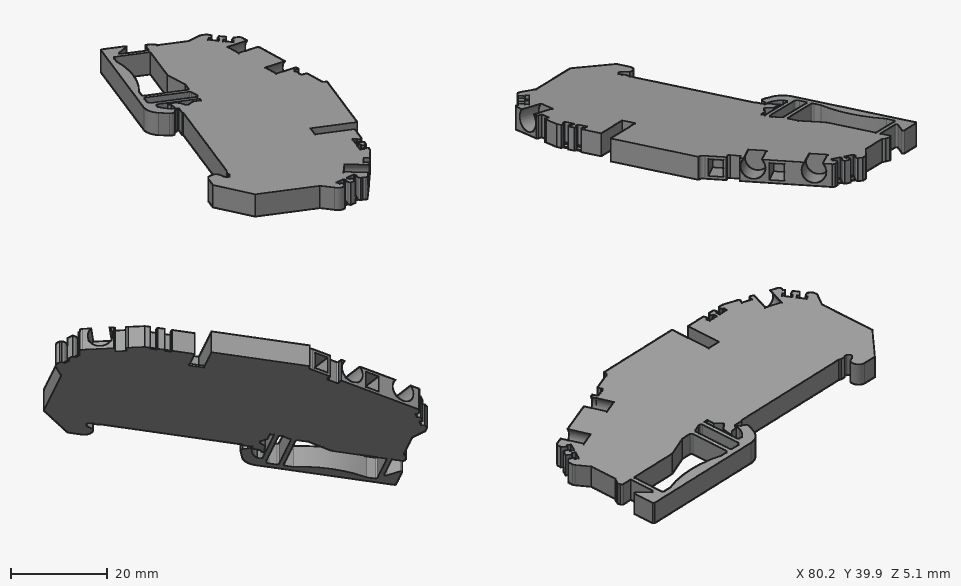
import cadquery as cq
import math

LENGTH = 80.21
HEIGHT = 39.9
THICKNESS = 5.1
FLOOR = 0.6
SLOPE = 20.0
MARKER_TILT = 60.0

BODY_BOTTOM = 7.0
RAIL_STEP = 0.2
SHELF = 9.42
RIGHT_TOP = 38.35
LEFT_WALL = 2.0
RIGHT_WALL = 78.1
TERMINAL_PEAK = 36.2

FOOT_LEFT = 0.55
FOOT_FLOOR = 1.42
RIB = 1.02
RIB_1 = 3.9
RIB_2 = 24.91
RIB_3 = 28.77
ARCH_START = 7.2
ARCH_END = 22.8
ARCH_TOP = 2.7
SHELF_END = 16.75
WINDOW_1_TOP = 11.55
WINDOW_1_TOP_START = 22.2
WINDOW_2_TOP_LEFT = 11.5
WINDOW_2_TOP = 12.3
WINDOW_2_FLAT_START = 28.0
WINDOW_FILLET = 0.4
WINDOW_WIDE_FILLET = 0.8

SLOT_LEFT = 50.5
SLOT_WIDTH = 3.14
SLOT_THROUGH_BOTTOM = 33.75
SLOT_RAMP = 0.2
SLOT_BOTTOM = 29.75

MARKER_PITCH = 3.1
MARKER_MOUTH_WIDTH = 1.6
MARKER_NECK_WIDTH = 1.3
MARKER_FOOT_WIDTH = 2.2
MARKER_FOOT_HEIGHT = 0.87
MARKER_NECK_HEIGHT = 0.65
MARKER_NECK_FLOOR = 0.3
TOP_MARKER_DEPTH = 1.95
END_MARKER_DEPTH = 2.25
TOP_MARKER_CENTER = (60.8, RIGHT_TOP)
LEFT_MARKER_CENTER = (1.95, 26.03)
RIGHT_MARKER_CENTER = (78.15, 30.32)
END_MARKER_SPAN = 4.9

TOOL_HOLE_RADIUS = 2.6
TOOL_HOLE_Z = 3.3
TOOL_HOLE_DEPTH = 5.15
TOOL_HOLES = (
    (7.2, 30.85, SLOPE),
    (19.2, 35.24, SLOPE),
    (73.0, 35.3, -SLOPE),
)
WIRE_ENTRY_LENGTH = 3.2
WIRE_ENTRY_HEIGHT = 3.7
WIRE_ENTRY_DEPTH = 5.0
WIRE_ENTRIES = ((14.5, 33.5), (26.5, 37.9))

OVERCUT = 1.0


def along(point, angle, distance):
    """Point at a distance from another, in the direction of an angle in degrees."""
    a = math.radians(angle)
    return (point[0] + distance * math.cos(a), point[1] + distance * math.sin(a))


def make_body():
    """Profile of the housing with the foot, running clockwise from the foot corner."""
    slope_rise = math.tan(math.radians(SLOPE))
    left_peak_x = 21.8
    left_terminal_x = 3.55
    right_peak_x = 70.4
    right_terminal_x = 76.5
    left_slope = (24.4, 28.7)
    right_slope = (64.3, 67.5)
    left_slope_bottom = 37.15
    hook_bottom = 2.2
    step_level = BODY_BOTTOM - RAIL_STEP
    rib_3_right = RIB_3 + RIB
    left_low = along(LEFT_MARKER_CENTER, MARKER_TILT, -END_MARKER_SPAN / 2)
    left_high = along(LEFT_MARKER_CENTER, MARKER_TILT, END_MARKER_SPAN / 2)
    right_high = along(RIGHT_MARKER_CENTER, -MARKER_TILT, -END_MARKER_SPAN / 2)
    right_low = along(RIGHT_MARKER_CENTER, -MARKER_TILT, END_MARKER_SPAN / 2)

    outline = cq.Workplane("XY").moveTo(FOOT_LEFT + 0.25, 0)
    outline = outline.lineTo(FOOT_LEFT, 0.35).lineTo(FOOT_LEFT, 5.35)
    outline = outline.threePointArc((0.75, 5.58), (1.0, 5.5))
    outline = outline.lineTo(3.35, 3.15).threePointArc((3.7, 3.1), (RIB_1, 3.4))
    outline = outline.lineTo(RIB_1, SHELF).lineTo(1.6, SHELF)
    outline = outline.threePointArc((1.28, 9.55), (1.2, 9.9)).lineTo(1.05, 10.4)
    outline = outline.lineTo(1.5, 11.2).threePointArc((1.65, 11.6), (LEFT_WALL, 11.85))
    outline = outline.lineTo(LEFT_WALL, 18.65).lineTo(0.15, 21.55)
    outline = outline.threePointArc((0.05, 21.81), (0, 22.1)).lineTo(0, 23.2).lineTo(*left_low)
    outline = outline.lineTo(*left_high).lineTo(3.15, 29.15)
    outline = outline.lineTo(left_terminal_x, TERMINAL_PEAK - (left_peak_x - left_terminal_x) * slope_rise)
    outline = outline.lineTo(left_peak_x, TERMINAL_PEAK).lineTo(22.1, 35.4)
    outline = outline.threePointArc((22.2, 35.12), (22.55, 35.1)).lineTo(24.3, 35.72)
    outline = outline.threePointArc((24.7, 35.95), (24.6, 36.4)).lineTo(left_slope[0], left_slope_bottom)
    outline = outline.lineTo(left_slope[1], left_slope_bottom + (left_slope[1] - left_slope[0]) * slope_rise)
    outline = outline.threePointArc((29.3, 39.0), (29.5, 39.5)).lineTo(29.5, HEIGHT)
    outline = outline.lineTo(SLOT_LEFT, HEIGHT).lineTo(SLOT_LEFT, SLOT_THROUGH_BOTTOM)
    outline = outline.lineTo(SLOT_LEFT + SLOT_WIDTH, SLOT_THROUGH_BOTTOM)
    outline = outline.lineTo(SLOT_LEFT + SLOT_WIDTH, RIGHT_TOP).lineTo(right_slope[0], RIGHT_TOP)
    outline = outline.lineTo(right_slope[1], RIGHT_TOP - (right_slope[1] - right_slope[0]) * slope_rise)
    outline = outline.threePointArc((67.95, 36.95), (67.85, 36.5)).lineTo(67.55, 35.9)
    outline = outline.lineTo(69.8, 35.08).lineTo(70.05, 36.1).lineTo(right_peak_x, TERMINAL_PEAK)
    outline = outline.lineTo(right_terminal_x, TERMINAL_PEAK - (right_terminal_x - right_peak_x) * slope_rise)
    outline = outline.threePointArc((76.8, 33.75), (76.85, 33.3)).lineTo(76.7, 32.8).lineTo(*right_high)
    outline = outline.lineTo(*right_low).lineTo(79.75, 28.0)
    outline = outline.threePointArc((LENGTH, 26.85), (79.75, 25.7)).lineTo(RIGHT_WALL, 23.15)
    outline = outline.lineTo(RIGHT_WALL, 9.15).lineTo(71.15, hook_bottom).lineTo(67.9, hook_bottom)
    outline = outline.threePointArc((66.5, 3.15), (66.45, 4.85)).lineTo(67.9, 5.6)
    outline = outline.threePointArc((68.2, 6.5), (67.6, BODY_BOTTOM))
    outline = outline.lineTo(67.1, BODY_BOTTOM).lineTo(66.9, step_level)
    outline = outline.lineTo(65.9, step_level).lineTo(65.3, BODY_BOTTOM)
    outline = outline.lineTo(35.4, BODY_BOTTOM).lineTo(35.2, step_level)
    outline = outline.lineTo(33.0, step_level).lineTo(32.65, 6.05).lineTo(31.0, 5.8)
    outline = outline.lineTo(30.4, 5.2).lineTo(30.05, 5.5).lineTo(30.4, 7.6)
    outline = outline.lineTo(31.8, 8.65).threePointArc((31.98, 8.92), (31.9, 9.2))
    outline = outline.lineTo(30.7, 10.5).lineTo(30.7, WINDOW_2_TOP).lineTo(rib_3_right, WINDOW_2_TOP)
    outline = outline.lineTo(rib_3_right, 3.2).threePointArc((29.9, 2.95), (30.15, 2.87))
    outline = outline.lineTo(30.9, 2.87).threePointArc((32.1, 4.0), (32.7, 5.2)).lineTo(33.05, 6.45)
    outline = outline.lineTo(33.7, 5.75).lineTo(34.6, 5.4).threePointArc((34.87, 4.8), (34.75, 4.15))
    outline = outline.lineTo(33.9, 2.1).threePointArc((32.47, 0.58), (30.5, 0)).close()
    return outline.extrude(THICKNESS)


def cut_foot_windows(body):
    """Two openings between the ribs, with an arched foot under the first one."""
    left = RIB_1 + RIB
    window_1 = (
        cq.Workplane("XY").moveTo(left, FOOT_FLOOR).lineTo(left, SHELF).lineTo(SHELF_END, SHELF)
        .lineTo(WINDOW_1_TOP_START, WINDOW_1_TOP).lineTo(RIB_2, WINDOW_1_TOP)
        .lineTo(RIB_2, FOOT_FLOOR).lineTo(ARCH_END, FOOT_FLOOR)
        .threePointArc(((ARCH_START + ARCH_END) / 2, ARCH_TOP), (ARCH_START, FOOT_FLOOR))
        .close().extrude(THICKNESS)
    )
    window_1 = window_1.edges("|Z and >X").fillet(WINDOW_FILLET)
    window_1 = window_1.edges("|Z and <X and <Y").fillet(WINDOW_FILLET)
    left = RIB_2 + RIB
    window_2 = (
        cq.Workplane("XY").moveTo(left, FOOT_FLOOR).lineTo(left, WINDOW_2_TOP_LEFT)
        .lineTo(WINDOW_2_FLAT_START, WINDOW_2_TOP).lineTo(RIB_3, WINDOW_2_TOP)
        .lineTo(RIB_3, FOOT_FLOOR).close().extrude(THICKNESS)
    )
    window_2 = window_2.edges("|Z and >X and <Y").fillet(WINDOW_WIDE_FILLET)
    window_2 = window_2.edges("|Z and (<X or (>X and >Y))").fillet(WINDOW_FILLET)
    return body.cut(window_1).cut(window_2)


def cut_bridge_slot(body):
    """Blind lower end of the bridge slot, with a steep ramp from its floor."""
    ramp_top = SLOT_THROUGH_BOTTOM - SLOT_RAMP
    pocket = (
        cq.Workplane("YZ", origin=(SLOT_LEFT, 0, 0)).moveTo(SLOT_BOTTOM, FLOOR)
        .lineTo(ramp_top, FLOOR).lineTo(SLOT_THROUGH_BOTTOM, 0)
        .lineTo(SLOT_THROUGH_BOTTOM, THICKNESS).lineTo(SLOT_BOTTOM, THICKNESS)
        .close().extrude(SLOT_WIDTH)
    )
    return body.cut(pocket)


def marker_cutter(depth):
    """One T pocket below the X axis: through mouth, ramped neck and blind foot."""
    foot_top = MARKER_FOOT_HEIGHT - depth
    neck_top = foot_top + MARKER_NECK_HEIGHT
    foot = (
        cq.Workplane("XY").box(MARKER_FOOT_WIDTH, MARKER_FOOT_HEIGHT, THICKNESS, (True, False, False))
        .translate((0, -depth, FLOOR))
    )
    neck = (
        cq.Workplane("YZ").moveTo(foot_top, FLOOR).lineTo(neck_top, MARKER_NECK_FLOOR)
        .lineTo(neck_top, THICKNESS).lineTo(foot_top, THICKNESS).close()
        .extrude(MARKER_NECK_WIDTH / 2, both=True)
    )
    mouth = (
        cq.Workplane("XY").moveTo(-MARKER_NECK_WIDTH / 2, neck_top)
        .lineTo(-MARKER_MOUTH_WIDTH / 2, 0).lineTo(-MARKER_MOUTH_WIDTH / 2, OVERCUT)
        .lineTo(MARKER_MOUTH_WIDTH / 2, OVERCUT).lineTo(MARKER_MOUTH_WIDTH / 2, 0)
        .lineTo(MARKER_NECK_WIDTH / 2, neck_top).close().extrude(THICKNESS)
    )
    return foot.union(neck).union(mouth)


def cut_marker_pair(body, center, angle, depth):
    """Two T pockets side by side along an edge inclined by the angle."""
    for offset in (-MARKER_PITCH / 2, MARKER_PITCH / 2):
        cutter = marker_cutter(depth).translate((offset, 0, 0))
        cutter = cutter.rotate((0, 0, 0), (0, 0, 1), angle)
        body = body.cut(cutter.translate((center[0], center[1], 0)))
    return body


def cut_tool_hole(body, x, y, tilt):
    """Round blind hole, square to a terminal face and breaking through the top face.

    The tilt is the lean of the hole: positive leans its lower end toward +X.
    """
    inward = along((0, 0), tilt - 90, 1.0)
    mouth = (x - OVERCUT * inward[0], y - OVERCUT * inward[1], TOOL_HOLE_Z)
    plane = cq.Plane(origin=mouth, xDir=(0, 0, 1), normal=(inward[0], inward[1], 0))
    hole = cq.Workplane(plane).circle(TOOL_HOLE_RADIUS).extrude(TOOL_HOLE_DEPTH + OVERCUT)
    return body.cut(hole)


def cut_wire_entry(body, x, y):
    """Rectangular blind opening, square to a left slope."""
    entry = (
        cq.Workplane("XY").box(WIRE_ENTRY_LENGTH, 2 * WIRE_ENTRY_DEPTH, WIRE_ENTRY_HEIGHT)
        .rotate((0, 0, 0), (0, 0, 1), SLOPE).translate((x, y, THICKNESS / 2))
    )
    return body.cut(entry)


result = make_body()
result = cut_foot_windows(result)
result = cut_bridge_slot(result)
result = cut_marker_pair(result, TOP_MARKER_CENTER, 0, TOP_MARKER_DEPTH)
result = cut_marker_pair(result, LEFT_MARKER_CENTER, MARKER_TILT, END_MARKER_DEPTH)
result = cut_marker_pair(result, RIGHT_MARKER_CENTER, -MARKER_TILT, END_MARKER_DEPTH)
for hole_x, hole_y, hole_tilt in TOOL_HOLES:
    result = cut_tool_hole(result, hole_x, hole_y, hole_tilt)
for entry_x, entry_y in WIRE_ENTRIES:
    result = cut_wire_entry(result, entry_x, entry_y)